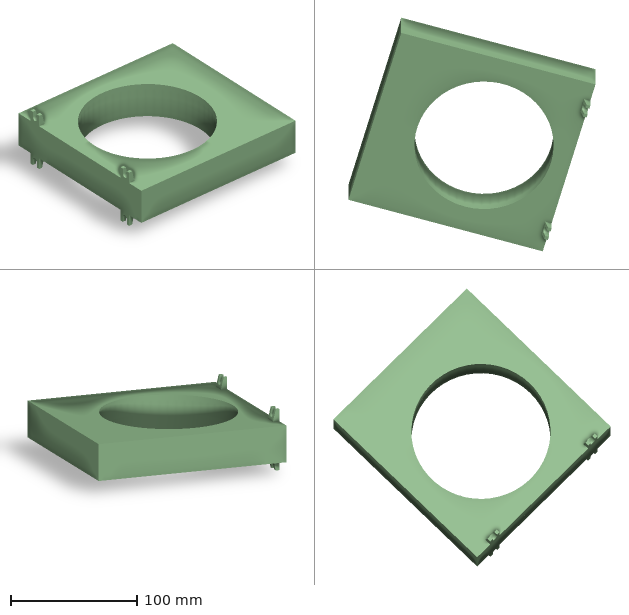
import cadquery as cq

plate_width = 150.0
plate_length = 160.0
plate_thickness = 15.0
bore_diameter = 110.0
bore_to_front = 70.0

lug_inset = 20.0
lug_width = 10.5
lug_height = 10.0
lug_base_depth = 5.5
lug_tip_depth = 3.0
slot_width = 5.0
slot_depth = 7.4

front_y = -plate_length / 2
lug_x = plate_width / 2 - lug_inset


def make_plate(bottom_z):
    """Rectangular plate with a through bore, resting on bottom_z."""
    return (
        cq.Workplane("XY", origin=(0, 0, bottom_z))
        .rect(plate_width, plate_length)
        .extrude(plate_thickness)
        .moveTo(0, front_y + bore_to_front)
        .circle(bore_diameter / 2)
        .cutThruAll()
    )


def make_upper_lug(center_x):
    """Lug standing on the upper plate, tapering toward its tip."""
    base_z = plate_thickness
    tip_z = base_z + lug_height
    body = (
        cq.Workplane("YZ", origin=(center_x, 0, 0))
        .moveTo(front_y, base_z)
        .lineTo(front_y + lug_base_depth, base_z)
        .lineTo(front_y + lug_tip_depth, tip_z)
        .lineTo(front_y, tip_z)
        .close()
        .extrude(lug_width / 2, both=True)
    )

    slot_radius = slot_width / 2
    slot_bottom_z = tip_z - slot_depth
    arc_center_z = slot_bottom_z + slot_radius
    slot = (
        cq.Workplane("XZ", origin=(center_x, front_y, 0))
        .moveTo(-slot_radius, tip_z)
        .lineTo(-slot_radius, arc_center_z)
        .threePointArc((0, slot_bottom_z), (slot_radius, arc_center_z))
        .lineTo(slot_radius, tip_z)
        .close()
        .extrude(-lug_base_depth)
    )
    return body.cut(slot)


lower_plate = make_plate(-plate_thickness)
upper_plate = make_plate(0)

lugs = []
for center_x in (-lug_x, lug_x):
    upper_lug = make_upper_lug(center_x)
    lower_lug = upper_lug.mirror("XY")
    lugs.append(upper_lug.val())
    lugs.append(lower_lug.val())

result = cq.Compound.makeCompound([lower_plate.val(), upper_plate.val(), *lugs])